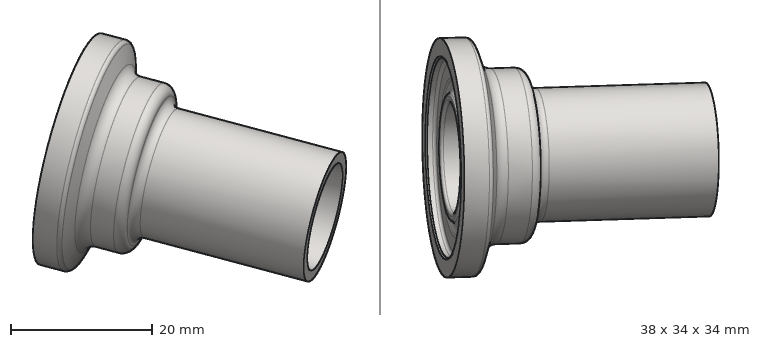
import cadquery as cq
import math

length = 38.0

flange_radius = 34.0 / 2
collar_radius = 25.0 / 2
tube_radius = 19.05 / 2
flange_rim_end = 3.57
flange_edge_round = 0.7
cone_lean = 20.0
collar_root_round = 2.0
shoulder_x = 12.1
shoulder_edge_round = 1.52
shoulder_root_round = 1.45

recess_depth = 1.5
recess_radius = 28.4 / 2
recess_chamfer = 0.247
recess_corner_round = 0.5

bore_radius = 15.75 / 2
groove_outer_edge = 10.95
groove_inner_edge = 9.12
groove_outer_slope = 35.0
groove_inner_slope = 62.0
groove_mouth_round = 0.72
lip_outer_round = 0.4
lip_bore_round = 0.45

join_tolerance = 3.8e-07


def arc(outline, center, radius, start, end):
    """Extend the outline by an arc; angles in degrees run from +X towards larger radius.

    A straight line leads to the arc unless the outline already ends at its start.
    """
    def at(angle):
        turn = math.radians(angle)
        return (center[0] + radius * math.cos(turn), center[1] + radius * math.sin(turn))

    start_point = at(start)
    here = outline.val().endPoint()
    if math.dist(here.toTuple()[:2], start_point) > join_tolerance:
        outline = outline.lineTo(*start_point)
    return outline.threePointArc(at((start + end) / 2), at(end))


def add_outside(outline):
    """Run from the flange rim along the back cone and collar to the tube end."""
    lean = math.radians(cone_lean)
    edge_center = (flange_rim_end, flange_radius - flange_edge_round)
    root_radius = collar_radius + collar_root_round

    center_drop = edge_center[1] - root_radius
    round_sum = flange_edge_round + collar_root_round
    root_x = edge_center[0] + (round_sum + center_drop * math.sin(lean)) / math.cos(lean)

    outline = outline.lineTo(0, flange_radius)
    outline = arc(outline, edge_center, flange_edge_round, 90, cone_lean)
    outline = arc(outline, (root_x, root_radius), collar_root_round, 180 + cone_lean, 270)
    convex_center = (shoulder_x - shoulder_edge_round, collar_radius - shoulder_edge_round)
    concave_center = (shoulder_x + shoulder_root_round, tube_radius + shoulder_root_round)
    outline = arc(outline, convex_center, shoulder_edge_round, 90, 0)
    outline = arc(outline, concave_center, shoulder_root_round, 180, 270)
    return outline.lineTo(length, tube_radius).lineTo(length, bore_radius)


def add_lip_and_groove(outline):
    """Run from the bore over the lip and through the groove to the recess floor."""
    outer_slope = math.radians(groove_outer_slope)
    inner_slope = math.radians(groove_inner_slope)
    groove_width = groove_outer_edge - groove_inner_edge
    groove_round = groove_width / (math.sin(outer_slope) + math.sin(inner_slope))

    mouth_x = recess_depth + groove_mouth_round * (1 - math.cos(outer_slope))
    groove_center = (
        mouth_x - groove_round * math.cos(outer_slope),
        groove_outer_edge - groove_round * math.sin(outer_slope),
    )
    lip_outer_center = (
        groove_center[0] + (groove_round + lip_outer_round) * math.cos(inner_slope),
        groove_center[1] - (groove_round + lip_outer_round) * math.sin(inner_slope),
    )
    lip_x = lip_outer_center[0] - lip_outer_round
    lip_bore_center = (lip_x + lip_bore_round, bore_radius + lip_bore_round)
    mouth_center = (
        recess_depth + groove_mouth_round,
        groove_outer_edge + groove_mouth_round * math.sin(outer_slope),
    )

    outline = arc(outline, lip_bore_center, lip_bore_round, 270, 180)
    outline = arc(outline, lip_outer_center, lip_outer_round, 180, 180 - groove_inner_slope)
    outline = arc(outline, groove_center, groove_round, -groove_inner_slope, groove_outer_slope)
    return arc(outline, mouth_center, groove_mouth_round, 180 + groove_outer_slope, 180)


corner_center = (recess_depth - recess_corner_round, recess_radius - recess_corner_round)

profile = cq.Workplane("XY").moveTo(recess_chamfer, recess_radius)
profile = profile.lineTo(0, recess_radius + recess_chamfer)
profile = add_outside(profile)
profile = add_lip_and_groove(profile)
profile = arc(profile, corner_center, recess_corner_round, 0, 90)

result = profile.close().revolve(360, (0, 0, 0), (1, 0, 0))